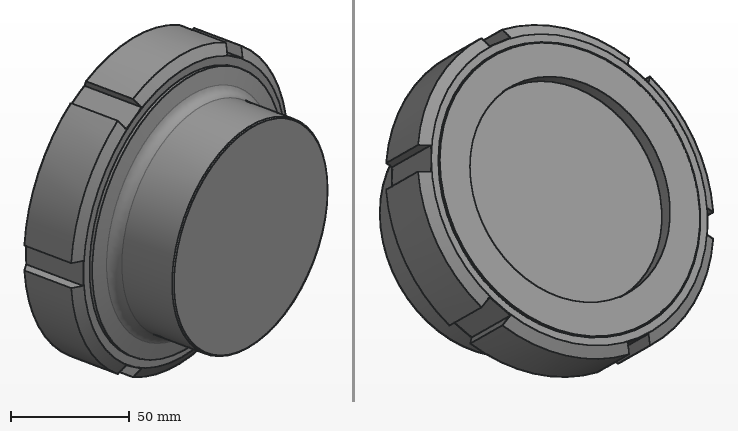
import cadquery as cq
import math

overall_length = 67.0

flange_radius = 130.0 / 2
flange_rim_end = 33.0
flange_back_lean = 10.0
pipe_radius = 106.0 / 2
pipe_end_chamfer = 0.6
neck_fillet = 5.0

recess_radius = 100.0 / 2
recess_depth = 6.5

nut_radius = 148.0 / 2
nut_front = 0.5
nut_back = 31.5
nut_chamfer_height = 5.0
nut_chamfer_angle = 30.0
nut_bore_radius = 130.4 / 2
bore_bevel = 0.3
gap_depth = 1.0
joint_overlap = 1.0

slot_count = 6
slot_width = 12.0
slot_floor_distance = 69.05


def revolve_about_x(profile):
    """Turn an (x, radius) outline about the X axis."""
    return profile.close().revolve(360, (0, 0, 0), (1, 0, 0))


def make_body():
    """Flange with a leaning back face, blended into the pipe stub."""
    lean = math.tan(math.radians(flange_back_lean))
    neck_x = flange_rim_end + (flange_radius - pipe_radius) * lean
    profile = (
        cq.Workplane("XY")
        .lineTo(0, flange_radius)
        .lineTo(flange_rim_end, flange_radius)
        .lineTo(neck_x, pipe_radius)
        .lineTo(overall_length - pipe_end_chamfer, pipe_radius)
        .lineTo(overall_length, pipe_radius - pipe_end_chamfer)
        .lineTo(overall_length, 0)
    )
    reach = 0.5
    neck_edge = cq.selectors.BoxSelector(
        (neck_x - reach, -flange_radius, -flange_radius),
        (neck_x + reach, flange_radius, flange_radius),
    )
    return revolve_about_x(profile).edges(neck_edge).fillet(neck_fillet)


def make_slot_cutter(angle):
    """A block across the whole rim, with a flat floor, turned to its place."""
    cutter = cq.Workplane("XY").box(
        overall_length, nut_radius, slot_width, centered=(False, False, True)
    )
    return cutter.translate((0, slot_floor_distance, 0)).rotate((0, 0, 0), (1, 0, 0), angle)


def make_nut():
    """Ring chamfered on both outer edges, with spanner slots across the rim."""
    chamfer_length = nut_chamfer_height * math.tan(math.radians(nut_chamfer_angle))
    face_radius = nut_radius - nut_chamfer_height
    joint_radius = flange_radius - joint_overlap
    gap_end = nut_front + gap_depth
    profile = (
        cq.Workplane("XY")
        .moveTo(nut_front + bore_bevel, nut_bore_radius)
        .lineTo(nut_front, nut_bore_radius + bore_bevel)
        .lineTo(nut_front, face_radius)
        .lineTo(nut_front + chamfer_length, nut_radius)
        .lineTo(nut_back - chamfer_length, nut_radius)
        .lineTo(nut_back, face_radius)
        .lineTo(nut_back, joint_radius)
        .lineTo(gap_end, joint_radius)
        .lineTo(gap_end, nut_bore_radius)
    )
    nut = revolve_about_x(profile)
    for index in range(slot_count):
        nut = nut.cut(make_slot_cutter(index * 360.0 / slot_count))
    return nut


def make_recess():
    return cq.Workplane("YZ").circle(recess_radius).extrude(recess_depth)


result = make_body().union(make_nut()).cut(make_recess())